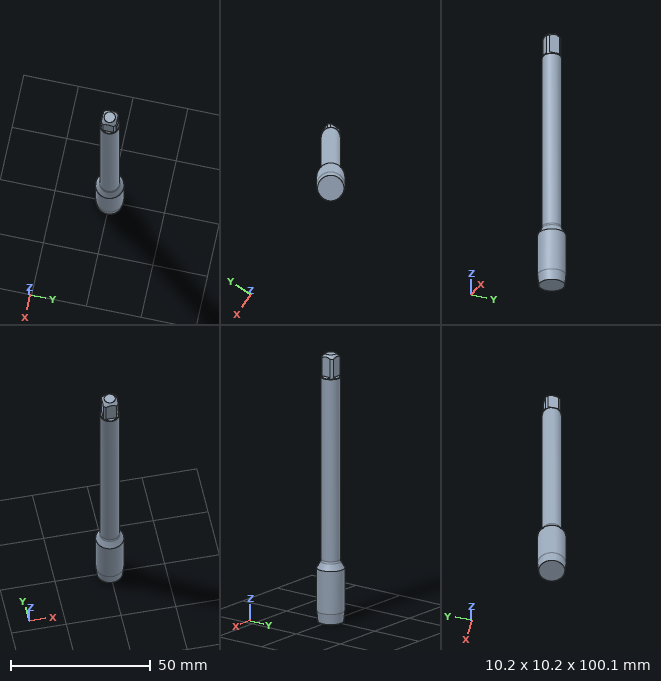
import cadquery as cq
import math

total_length = 100.1

head_diameter = 10.2
head_length = 20.0
lead_length = 4.0
lead_end_diameter = 9.4

stem_diameter = 7.0
neck_slope = 30.0
neck_blend_radius = 1.5

drive_across_flats = 5.5
drive_corner_diameter = 6.7
drive_flat_end_depth = 8.1
tip_diameter = 4.0
flat_count = 4
flat_bottom_z = total_length - drive_flat_end_depth
stem_top_z = flat_bottom_z - (stem_diameter - drive_across_flats) / 2
cutter_overrun = 1.0


def make_cutting_head():
    """Cylinder whose lower end narrows in the lead taper."""
    radius = head_diameter / 2
    return (
        cq.Workplane("XZ")
        .lineTo(lead_end_diameter / 2, 0)
        .lineTo(radius, lead_length)
        .lineTo(radius, head_length)
        .lineTo(0, head_length)
        .close()
        .revolve(360, (0, 0), (0, 1))
    )


def make_shank_blank():
    """Round shank with the neck cone at its foot and the drive's corner diameter at its pointed tip."""
    head_radius = head_diameter / 2
    stem_radius = stem_diameter / 2
    corner_radius = drive_corner_diameter / 2

    slope = math.radians(neck_slope)
    neck_top_z = head_length + (head_radius - stem_radius) / math.tan(slope)
    tangent_length = neck_blend_radius * math.tan(slope / 2)
    blend_top_z = neck_top_z + tangent_length
    blend_bottom = (
        stem_radius + tangent_length * math.sin(slope),
        neck_top_z - tangent_length * math.cos(slope),
    )
    blend_middle = (
        stem_radius + neck_blend_radius * (1 - math.cos(slope / 2)),
        blend_top_z - neck_blend_radius * math.sin(slope / 2),
    )

    shoulder_height = stem_radius - corner_radius
    tip_height = corner_radius - tip_diameter / 2
    return (
        cq.Workplane("XZ")
        .moveTo(0, head_length)
        .lineTo(head_radius, head_length)
        .lineTo(*blend_bottom)
        .threePointArc(blend_middle, (stem_radius, blend_top_z))
        .lineTo(stem_radius, stem_top_z)
        .lineTo(corner_radius, stem_top_z + shoulder_height)
        .lineTo(corner_radius, total_length - tip_height)
        .lineTo(tip_diameter / 2, total_length)
        .lineTo(0, total_length)
        .close()
        .revolve(360, (0, 0), (0, 1))
    )


def make_flat_cutter():
    """Prism that cuts one flat on the +X side, with a 45-degree run-out at its lower end."""
    flat_x = drive_across_flats / 2
    outer_x = stem_diameter / 2 + cutter_overrun
    top_z = total_length + cutter_overrun
    return (
        cq.Workplane("XZ")
        .moveTo(flat_x, top_z)
        .lineTo(flat_x, flat_bottom_z)
        .lineTo(outer_x, flat_bottom_z - (outer_x - flat_x))
        .lineTo(outer_x, top_z)
        .close()
        .extrude(stem_diameter / 2, both=True)
    )


def make_shank():
    """Round blank with the flats of the square drive cut around its upper end."""
    shank = make_shank_blank()
    flat_cutter = make_flat_cutter()
    for side in range(flat_count):
        shank = shank.cut(flat_cutter.rotate((0, 0, 0), (0, 0, 1), side * 360 / flat_count))
    return shank


cutting_head = make_cutting_head()
shank = make_shank()

result = cq.Compound.makeCompound([cutting_head.val(), shank.val()])